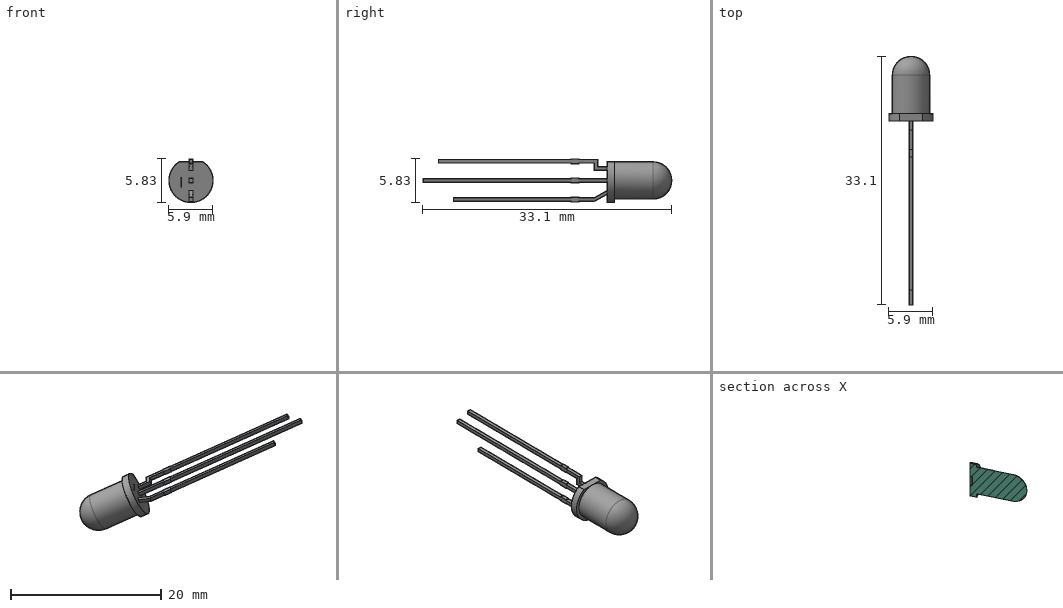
import cadquery as cq
import math

total_length = 33.1

lens_radius = 5.0 / 2
lens_height = 8.6

flange_radius = 5.9 / 2
flange_thickness = 1.0
flat_height = lens_radius

slot_width = 0.05
slot_length = 1.3
slot_depth = 0.33
slot_x = -1.32
slot_z = -0.23

lead_size = 0.5
lead_pitch = 2.55
exit_offset = 1.6
length_step = 2.02
center_lead_length = total_length - lens_height
upper_lead_length = center_lead_length - length_step
lower_lead_length = center_lead_length - 2 * length_step
lead_embedding = 0.33

jog_start = 1.22
slant_end = 1.72

swell_height = 0.65
swell_length = 1.03
swell_start = 3.77


def make_lens():
    dome_start = lens_height - lens_radius
    arc_offset = lens_radius * math.sqrt(0.5)
    return (
        cq.Workplane("XY")
        .lineTo(lens_radius, 0)
        .lineTo(lens_radius, dome_start)
        .threePointArc((arc_offset, dome_start + arc_offset), (0, lens_height))
        .close()
        .revolve(360, (0, 0), (0, 1))
    )


def make_flange():
    disc = cq.Workplane("XZ").circle(flange_radius).extrude(-flange_thickness)
    below_flat = cq.Workplane("XY").box(
        2 * flange_radius, flange_thickness, flange_radius + flat_height, centered=(True, False, False)
    )
    return disc.intersect(below_flat.translate((0, 0, -flange_radius)))


def make_slot():
    slot = cq.Workplane("XY").box(slot_width, slot_depth, slot_length, centered=(True, False, True))
    return slot.translate((slot_x, 0, slot_z))


def make_bar(side_profile):
    """Extrude a closed (Y, Z) outline to the lead width, centred on X = 0."""
    return cq.Workplane("YZ").polyline(side_profile).close().extrude(lead_size / 2, both=True)


def make_straight(y_start, y_end, z_center, height):
    """Straight bar running along Y."""
    bottom = z_center - height / 2
    top = z_center + height / 2
    return make_bar([(y_start, bottom), (y_end, bottom), (y_end, top), (y_start, top)])


def make_swell(z_center):
    return make_straight(-swell_start, -swell_start - swell_length, z_center, swell_height)


def make_center_lead():
    lead = make_straight(lead_embedding, -center_lead_length, 0, lead_size)
    return lead.union(make_swell(0))


def make_upper_lead():
    """Lead stepped outward by a square jog."""
    jog_end = jog_start + lead_size
    jog_center = (exit_offset + lead_pitch) / 2
    jog_height = lead_pitch - exit_offset + lead_size
    root = make_straight(lead_embedding, -jog_end, exit_offset, lead_size)
    jog = make_straight(-jog_start, -jog_end, jog_center, jog_height)
    shank = make_straight(-jog_start, -upper_lead_length, lead_pitch, lead_size)
    return root.union(jog).union(shank).union(make_swell(lead_pitch))


def make_lower_lead():
    """Lead slanted outward to its pitch, then straight."""
    half = lead_size / 2
    lead = make_bar(
        [
            (lead_embedding, -exit_offset + half),
            (0, -exit_offset + half),
            (-slant_end, -lead_pitch + half),
            (-lower_lead_length, -lead_pitch + half),
            (-lower_lead_length, -lead_pitch - half),
            (-slant_end, -lead_pitch - half),
            (0, -exit_offset - half),
            (lead_embedding, -exit_offset - half),
        ]
    )
    return lead.union(make_swell(-lead_pitch))


body = make_lens().union(make_flange()).cut(make_slot())
result = body.union(make_center_lead()).union(make_upper_lead()).union(make_lower_lead())